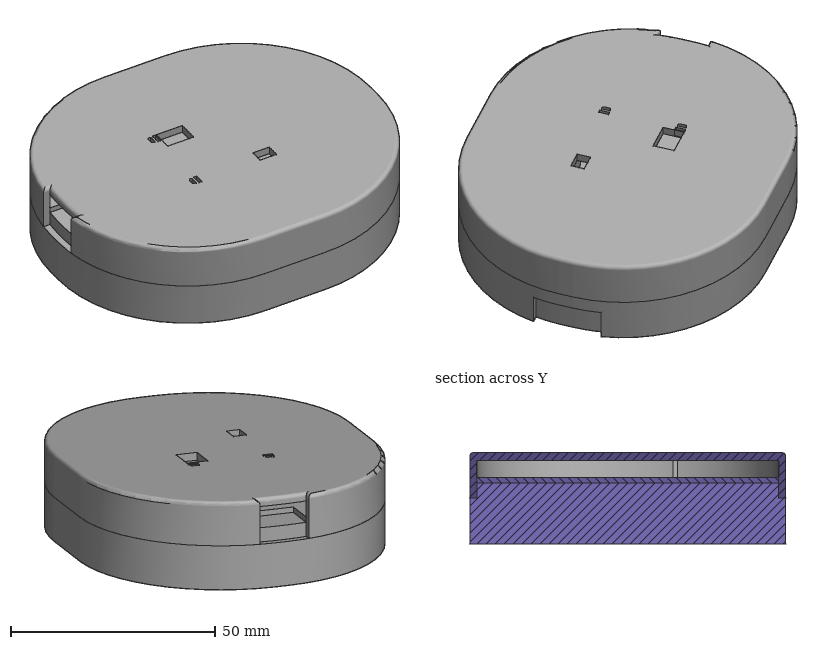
import cadquery as cq

LENGTH = 91.3
WIDTH = 77.5
HEIGHT = 22.5
CORNER_RADIUS = 37.0
WALL = 1.8
ROOF = 2.0
EDGE_FILLET = 1.0

LID_HEIGHT = 11.1
SPLIT_Z = HEIGHT - LID_HEIGHT
LIP_TOP_Z = 15.0
PLATE_THICKNESS = 1.4
PLATE_TOP_Z = LIP_TOP_Z + PLATE_THICKNESS
CEILING_Z = HEIGHT - ROOF

NOTCH_WIDTH = 12.9
NOTCH_X = 0.8
PLATE_NOTCH_LENGTH = 9.1

BACK_NOTCH_WIDTH = 17.5
BACK_NOTCH_HEIGHT = 7.8

LARGE_WINDOW = (-8.4, -6.3, 5.5, 7.4)
SMALL_WINDOW = (9.1, 8.85, 3.5, 4.7)

SLOT_CENTRES_X = (-9.9, 9.9)
SLOT_Y = -10.7
SLOT_WIDTH = 2.6
SLOT_LENGTH = 0.8
CUP_GAP = 0.6
CUP_WIDTH = 2.2
CUP_LENGTH = 0.9
CUP_RADIUS = 0.5

RIB_THICKNESS = 1.0
RIB_SETBACK = 0.3
RIB_LENGTH = 10.95


def case_prism(inset, bottom, top):
    """Rounded-rectangle prism, set in from the outside of the case."""
    return (
        cq.Workplane("XY", origin=(0, 0, bottom))
        .rect(WIDTH - 2 * inset, LENGTH - 2 * inset)
        .extrude(top - bottom)
        .edges("|Z")
        .fillet(CORNER_RADIUS - inset)
    )


def block(x, y, size_x, size_y, bottom, top):
    """Upright block centred on x and y."""
    return (
        cq.Workplane("XY", origin=(x, y, bottom))
        .rect(size_x, size_y)
        .extrude(top - bottom)
    )


def wall_segment(x, y, width, bottom, top):
    """Piece of the outer wall's thickness, used to cut a notch in it."""
    reach = LENGTH / 4
    return block(x, y, width, reach, bottom, top).cut(case_prism(WALL, bottom, top))


def small_opening(x):
    """Straight slot with a round-cornered opening just in front of it."""
    slot = block(x, SLOT_Y, SLOT_WIDTH, SLOT_LENGTH, CEILING_Z, HEIGHT)
    cup_y = SLOT_Y - SLOT_LENGTH / 2 - CUP_GAP - CUP_LENGTH / 2
    cup = block(x, cup_y, CUP_WIDTH, CUP_LENGTH, CEILING_Z, HEIGHT)
    return slot.add(cup.edges("|Z and <Y").fillet(CUP_RADIUS)).combine()


def make_base():
    """Lower half, with a raised centre that locates the lid."""
    base = case_prism(0, 0, SPLIT_Z).union(case_prism(WALL, SPLIT_Z, LIP_TOP_Z))
    return base.cut(wall_segment(0, LENGTH / 2, BACK_NOTCH_WIDTH, 0, BACK_NOTCH_HEIGHT))


def make_plate():
    """Inner plate on top of the base, open at the front notch."""
    plate = case_prism(WALL, LIP_TOP_Z, PLATE_TOP_Z)
    front_y = WALL - LENGTH / 2
    notch = block(NOTCH_X, front_y, NOTCH_WIDTH, 2 * PLATE_NOTCH_LENGTH, LIP_TOP_Z, PLATE_TOP_Z)
    return plate.cut(notch)


def make_lid():
    """Upper half: a shell with a front notch, rounded rim and openings."""
    lid = case_prism(0, SPLIT_Z, HEIGHT)
    lid = lid.cut(wall_segment(NOTCH_X, -LENGTH / 2, NOTCH_WIDTH, SPLIT_Z, HEIGHT))
    lid = lid.faces(">Z").edges().fillet(EDGE_FILLET)
    lid = lid.cut(case_prism(WALL, SPLIT_Z, CEILING_Z))

    window_x, window_y, window_width, _ = SMALL_WINDOW
    rib_x = window_x + window_width / 2 + RIB_SETBACK + RIB_THICKNESS / 2
    lid = lid.union(block(rib_x, window_y, RIB_THICKNESS, RIB_LENGTH, PLATE_TOP_Z, CEILING_Z))

    for x, y, width, length in (LARGE_WINDOW, SMALL_WINDOW):
        lid = lid.cut(block(x, y, width, length, CEILING_Z, HEIGHT))
    for x in SLOT_CENTRES_X:
        lid = lid.cut(small_opening(x))
    return lid


base = make_base()
plate = make_plate()
lid = make_lid()

result = cq.Compound.makeCompound([base.val(), plate.val(), lid.val()])